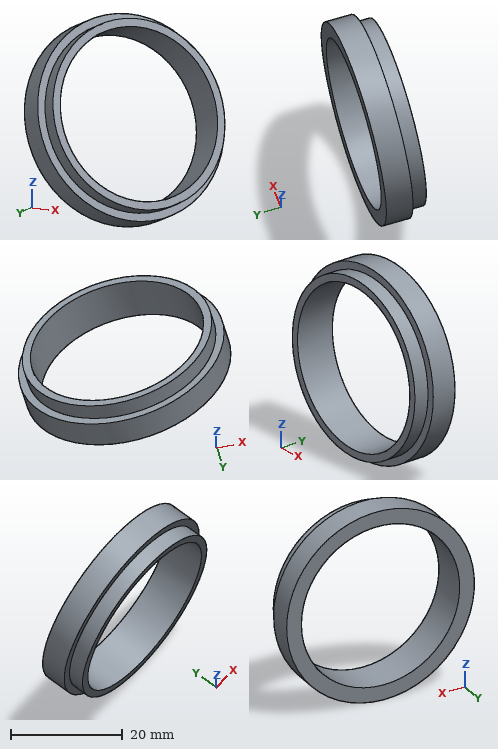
import cadquery as cq

outer_diameter = 38.0
spigot_diameter = 35.0
bore_diameter = 32.0
total_length = 8.0
spigot_length = 3.0
body_length = total_length - spigot_length

body = cq.Workplane("XZ").circle(outer_diameter / 2).extrude(body_length)
spigot = body.faces("<Y").workplane().circle(spigot_diameter / 2).extrude(spigot_length)

result = spigot.faces("<Y").workplane().circle(bore_diameter / 2).cutThruAll()